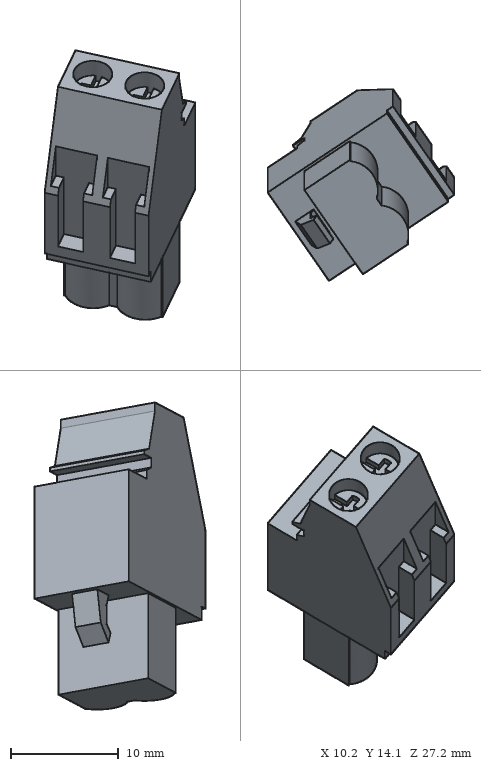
import cadquery as cq

POLE_COUNT = 2
PITCH = 5.1
POLE_X = [(index - (POLE_COUNT - 1) / 2) * PITCH for index in range(POLE_COUNT)]

WIDTH = POLE_COUNT * PITCH
DEPTH = 14.1
HEIGHT = 27.2
BASE_Z = 8.32
TOP_FRONT_Y = 4.0
TOP_BACK_Y = 9.28
SLOPE_START_Z = 17.3
TOE_DEPTH = 0.68
TOE_Z = 9.63
SHELF_Z = 19.28

ENTRY_BACK_Y = 1.8
ENTRY_WIDTH = 4.05
ENTRY_FLOOR_Z = 18.03
ENTRY_SLOT_WIDTH = 2.45
ENTRY_SLOT_FLOOR_Z = 10.88

PLUG_WIDTH = 9.68
PLUG_BACK_Y = 10.12
PLUG_FRONT_Y = 5.0
RIB_WIDTH = 4.3
RIB_FRONT_Y = 4.03

LATCH_WIDTH = 2.72

SCREW_Y = 6.66
SCREW_RADIUS = 3.62 / 2
SCREW_SINK = 1.85
SCREW_HEIGHT = 2.18
SCREW_TOP_Z = HEIGHT - SCREW_SINK
SCREW_BOTTOM_Z = SCREW_TOP_Z - SCREW_HEIGHT
DRIVE_DEPTH = 0.68
DRIVE_SLOT_WIDTH = 0.6
CROSS_SLOT_WIDTH = 0.75
CROSS_SLOT_RADIUS = 2.53 / 2

OVERLAP = 0.27


def box(x_size, x_centre, y_range, z_range):
    """Box centred on x_centre, between the given Y and Z limits."""
    (y_low, y_high), (z_low, z_high) = y_range, z_range
    corner = cq.Vector(x_centre - x_size / 2, y_low, z_low)
    return cq.Workplane(cq.Solid.makeBox(x_size, y_high - y_low, z_high - z_low, corner))


def side_extrusion(outline, width):
    """Extrude a closed (Y, Z) outline along X, centred on X = 0."""
    return cq.Workplane("YZ").polyline(outline).close().extrude(width / 2, both=True)


def make_shell():
    """Housing block with its sloping top and the catch on its rear side."""
    outline = [
        (TOE_DEPTH, BASE_Z),
        (TOE_DEPTH, TOE_Z),
        (0, TOE_Z),
        (0, SLOPE_START_Z),
        (TOP_FRONT_Y, HEIGHT),
        (TOP_BACK_Y, HEIGHT),
        (TOP_BACK_Y, 26.38),
        (10.35, 22.35),
        (11.25, 21.92),
        (11.25, 21.57),
        (9.95, 21.57),
        (9.95, 20.65),
        (10.77, 20.15),
        (10.77, SHELF_Z),
        (DEPTH, SHELF_Z),
        (DEPTH, BASE_Z),
    ]
    return side_extrusion(outline, WIDTH)


def make_plug():
    """Plug block below the housing, with an arc-shaped rib in front of each pole."""
    plug = box(PLUG_WIDTH, 0, (PLUG_FRONT_Y, PLUG_BACK_Y), (0, BASE_Z + OVERLAP))
    for x in POLE_X:
        rib = (
            cq.Workplane("XY")
            .moveTo(x - RIB_WIDTH / 2, PLUG_FRONT_Y)
            .threePointArc((x, RIB_FRONT_Y), (x + RIB_WIDTH / 2, PLUG_FRONT_Y))
            .line(0, OVERLAP)
            .line(-RIB_WIDTH, 0)
            .close()
            .extrude(BASE_Z + OVERLAP)
        )
        plug = plug.union(rib)
    return plug


def make_latch():
    """Hooked latch arm below the rear of the housing."""
    outline = [
        (13.52, BASE_Z + OVERLAP),
        (13.52, BASE_Z),
        (12.9, 5.25),
        (11.45, 3.7),
        (11.07, 4.73),
        (11.8, 5.4),
        (11.8, 7.24),
        (11.45, BASE_Z),
        (11.45, BASE_Z + OVERLAP),
    ]
    return side_extrusion(outline, LATCH_WIDTH)


def make_entry(x):
    """Cutter for one wire entry: a wide opening above a narrow slot."""
    y_range = (-OVERLAP, ENTRY_BACK_Y)
    opening = box(ENTRY_WIDTH, x, y_range, (ENTRY_FLOOR_Z, HEIGHT))
    slot = box(ENTRY_SLOT_WIDTH, x, y_range, (ENTRY_SLOT_FLOOR_Z, ENTRY_FLOOR_Z + OVERLAP))
    return opening.union(slot)


def screw_cylinder(x, radius, z_low, z_high):
    """Cylinder on the screw axis of the pole at x."""
    return cq.Workplane("XY", origin=(x, SCREW_Y, z_low)).circle(radius).extrude(z_high - z_low)


def make_housing():
    """Housing, plug and latch as one body, with the wire entries and screw holes cut."""
    housing = make_shell().union(make_plug()).union(make_latch())
    for x in POLE_X:
        housing = housing.cut(make_entry(x))
        housing = housing.cut(screw_cylinder(x, SCREW_RADIUS, SCREW_BOTTOM_Z, HEIGHT))
    return housing


def make_screw(x):
    """Screw filling the bottom of its hole, with a cross-shaped drive."""
    head = screw_cylinder(x, SCREW_RADIUS, SCREW_BOTTOM_Z, SCREW_TOP_Z)
    z_range = (SCREW_TOP_Z - DRIVE_DEPTH, SCREW_TOP_Z)
    y_range = (SCREW_Y - SCREW_RADIUS, SCREW_Y + SCREW_RADIUS)
    drive_slot = box(DRIVE_SLOT_WIDTH, x, y_range, z_range)
    cross_y_range = (SCREW_Y - CROSS_SLOT_WIDTH / 2, SCREW_Y + CROSS_SLOT_WIDTH / 2)
    cross_slot = box(2 * CROSS_SLOT_RADIUS, x, cross_y_range, z_range)
    cross_slot = cross_slot.intersect(screw_cylinder(x, CROSS_SLOT_RADIUS, *z_range))
    return head.cut(drive_slot).cut(cross_slot)


housing = make_housing()
screws = [make_screw(x) for x in POLE_X]
result = cq.Compound.makeCompound([housing.val(), *[screw.val() for screw in screws]])